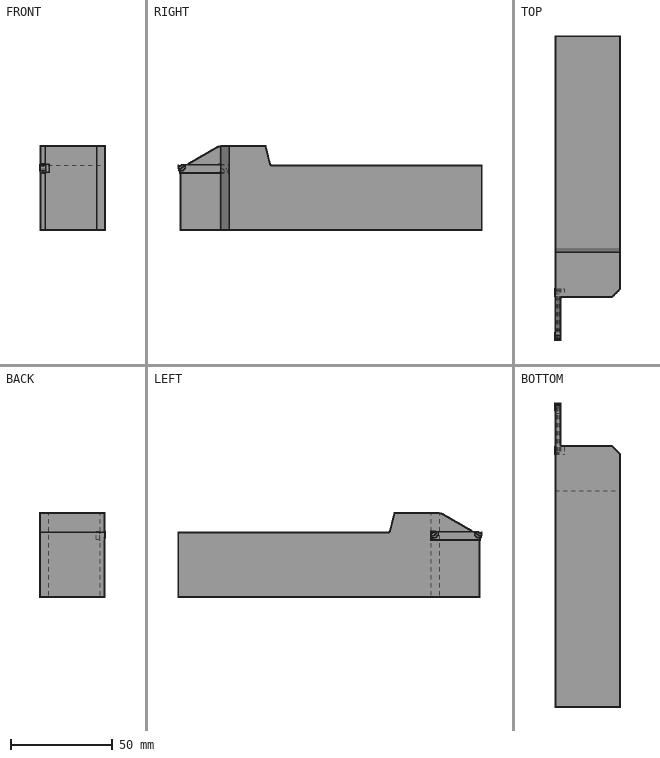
import cadquery as cq
import math


total_length = 150.0
holder_width = 32.0
shank_height = 32.0
head_top = 41.5
head_back = 43.2
rear_slope = math.radians(14)
rear_radius = 1.0
head_front = 21.2
crest_start = 21.6
crest_radius = 5.0
front_slope = math.radians(30)
blade_front = 1.2
blade_thickness = 2.4
clamp_lip = 0.3
root_radius = 1.0
corner_chamfer = 4.0

insert_length = 25.2
insert_bottom = 28.0
insert_top = 32.4
tip_height = shank_height
end_setback = 0.9
body_width = 2.7
flank_width = 2.9
edge_width = 3.0
cutting_end_length = 3.6
cutting_end_bottom = 29.4
cutting_end_corner = 1.2
land_inset = 0.9
front_relief = 0.53
land_bottom = 30.6
land_relief = 0.2
chip_groove = 0.8
chip_groove_depth = 0.3
chip_rise_end = 2.3
lower_chamfer = 0.3
vee_width = 1.4
vee_depth = 0.5

pocket_right = 4.4
pocket_bottom = 28.5
pocket_top = 32.5

insert_middle_x = blade_thickness / 2
insert_middle_y = insert_length / 2
insert_middle_z = (insert_bottom + insert_top) / 2


def extrude_across(outline, x_start, width):
    """Extrude an outline drawn in (Y, Z) along +X."""
    return outline.extrude(width).translate((x_start, 0, 0))


def make_body_prism(y_start, y_end):
    """Constant-section bar with chamfered lower edges and a vee groove along the underside."""
    half_width = body_width / 2
    return (
        cq.Workplane("XZ")
        .moveTo(-half_width, insert_top)
        .lineTo(-half_width, insert_bottom + lower_chamfer)
        .lineTo(-half_width + lower_chamfer, insert_bottom)
        .lineTo(-vee_width / 2, insert_bottom)
        .lineTo(0, insert_bottom + vee_depth)
        .lineTo(vee_width / 2, insert_bottom)
        .lineTo(half_width - lower_chamfer, insert_bottom)
        .lineTo(half_width, insert_bottom + lower_chamfer)
        .lineTo(half_width, insert_top)
        .close()
        .extrude(y_start - y_end)
        .translate((insert_middle_x, y_start, 0))
    )


def make_cutting_layer(width, inset):
    """Cutting end of the given width, its rear and lower borders drawn in by the inset."""
    rear = cutting_end_length - inset
    lower = cutting_end_bottom + inset
    secondary_run = front_relief - land_relief
    relief = land_relief + secondary_run * (land_bottom - lower) / (land_bottom - cutting_end_bottom)
    return extrude_across(
        cq.Workplane("YZ")
        .moveTo(0, tip_height)
        .lineTo(0, insert_top)
        .lineTo(rear, insert_top)
        .lineTo(rear, lower + cutting_end_corner)
        .lineTo(rear - cutting_end_corner, lower)
        .lineTo(relief, lower)
        .lineTo(land_relief, land_bottom)
        .close(),
        insert_middle_x - width / 2,
        width,
    )


def make_insert():
    """Double-ended grooving insert: a slim body with a wider cutting end on each end."""
    body = make_body_prism(end_setback, insert_length - end_setback)

    cutting_end = make_cutting_layer(flank_width, 0).union(make_cutting_layer(edge_width, land_inset))

    chip_space = extrude_across(
        cq.Workplane("YZ")
        .moveTo(0, insert_top)
        .lineTo(0, tip_height)
        .lineTo(chip_groove, tip_height - chip_groove_depth)
        .lineTo(2 * chip_groove, tip_height)
        .lineTo(chip_rise_end, insert_top)
        .close(),
        insert_middle_x - edge_width / 2,
        edge_width,
    )

    def at_far_end(shape):
        return shape.mirror("XZ", (0, insert_middle_y, 0))

    blank = body.union(cutting_end).union(at_far_end(cutting_end))
    return blank.cut(chip_space).cut(at_far_end(chip_space))


def make_side_profile():
    """Full-width bar with the side outline of shank, head and blade."""
    slope_run = (head_top - shank_height) * math.tan(rear_slope)
    slope_foot = head_back + slope_run

    foot_turn = math.pi / 2 - rear_slope
    foot_tangent = rear_radius * math.tan(foot_turn / 2)
    foot_centre_y = slope_foot + foot_tangent
    foot_centre_z = shank_height + rear_radius

    def foot_point(angle):
        return (foot_centre_y - rear_radius * math.sin(angle), foot_centre_z - rear_radius * math.cos(angle))

    def crest_point(angle):
        return (
            crest_start - crest_radius * math.sin(angle),
            head_top - crest_radius * (1 - math.cos(angle)),
        )

    crest_end_y, crest_end_z = crest_point(front_slope)
    slope_end_z = insert_top + clamp_lip
    slope_end_y = crest_end_y - (crest_end_z - slope_end_z) / math.tan(front_slope)

    return extrude_across(
        cq.Workplane("YZ")
        .moveTo(blade_front, 0)
        .lineTo(total_length, 0)
        .lineTo(total_length, shank_height)
        .lineTo(foot_centre_y, shank_height)
        .threePointArc(foot_point(foot_turn / 2), foot_point(foot_turn))
        .lineTo(head_back, head_top)
        .lineTo(crest_start, head_top)
        .threePointArc(crest_point(front_slope / 2), (crest_end_y, crest_end_z))
        .lineTo(slope_end_y, slope_end_z)
        .lineTo(slope_end_y, insert_middle_z)
        .lineTo(blade_front, insert_middle_z)
        .close(),
        0,
        holder_width,
    )


def make_plan_profile():
    """Prism with the plan outline: shank, chamfered head corner and filleted blade root."""
    fillet_mid = root_radius * (1 - math.sqrt(0.5))
    return (
        cq.Workplane("XY")
        .moveTo(0, 0)
        .lineTo(blade_thickness, 0)
        .lineTo(blade_thickness, head_front - root_radius)
        .threePointArc(
            (blade_thickness + fillet_mid, head_front - fillet_mid),
            (blade_thickness + root_radius, head_front),
        )
        .lineTo(holder_width - corner_chamfer, head_front)
        .lineTo(holder_width, head_front + corner_chamfer)
        .lineTo(holder_width, total_length)
        .lineTo(0, total_length)
        .close()
        .extrude(head_top)
    )


def make_clearance_pocket():
    """Recess in the head beside the insert, as deep as the insert reaches."""
    front = head_front - root_radius
    return cq.Workplane("XY").box(
        pocket_right - blade_thickness,
        insert_length - front,
        pocket_top - pocket_bottom,
        centered=False,
    ).translate((blade_thickness, front, pocket_bottom))


def make_holder(seated_insert):
    """Bar with a straight seat for the insert, running as far back as its rear cutting edge."""
    blank = make_side_profile().intersect(make_plan_profile())
    seat = make_body_prism(0, insert_length)
    return blank.cut(make_clearance_pocket()).cut(seat).cut(seated_insert)


insert = make_insert()
holder = make_holder(insert)

result = cq.Compound.makeCompound([holder.val(), insert.val()])